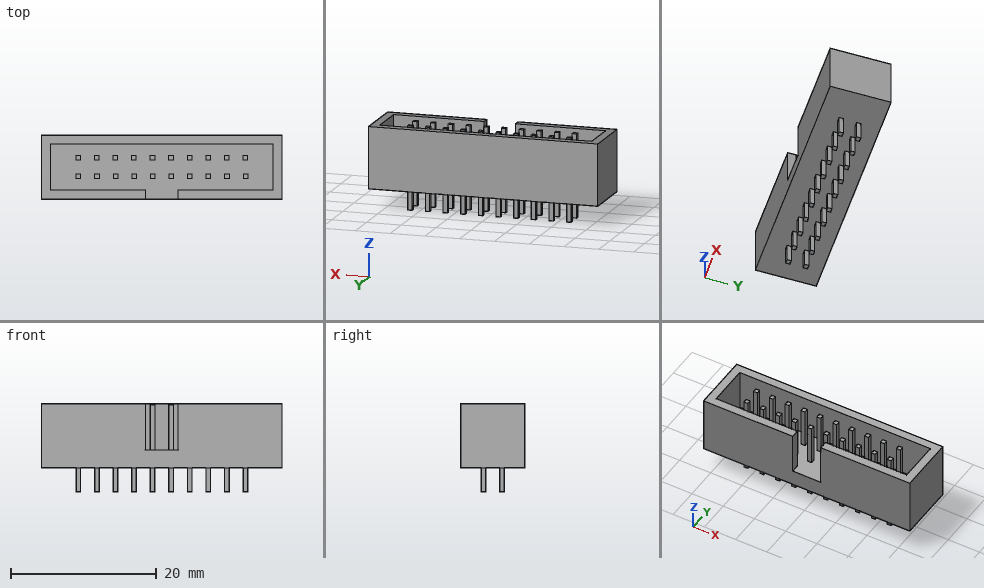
import cadquery as cq


housing_length = 33.0
housing_width = 8.8
housing_height = 8.8
wall = 1.25
cavity_depth = 6.37
key_slot_width = 4.5
cavity_floor = housing_height - cavity_depth

pins_per_row = 10
pin_size = 0.63
row_spacing = 2.55
back_row_span = 22.87
front_row_span = 22.95
first_pin_x = -back_row_span / 2
tail_length = 3.3
tip_recess = 0.2
pin_length = tail_length + housing_height - tip_recess


def make_housing():
    """Open-topped box with a key slot through the front wall, level with the cavity floor."""
    body = cq.Workplane("XY").box(
        housing_length, housing_width, housing_height, centered=(True, True, False)
    )
    cavity = (
        cq.Workplane("XY", origin=(0, 0, cavity_floor))
        .rect(housing_length - 2 * wall, housing_width - 2 * wall)
        .extrude(cavity_depth)
    )
    key_slot = (
        cq.Workplane("XY", origin=(0, -housing_width / 4, cavity_floor))
        .rect(key_slot_width, housing_width / 2)
        .extrude(cavity_depth)
    )
    return body.cut(cavity).cut(key_slot)


def make_pin_row(y, span):
    """Row of square pins from the tail ends up to just below the rim."""
    pitch = span / (pins_per_row - 1)
    centres = [(first_pin_x + i * pitch, y) for i in range(pins_per_row)]
    return (
        cq.Workplane("XY", origin=(0, 0, -tail_length))
        .pushPoints(centres)
        .rect(pin_size, pin_size)
        .extrude(pin_length)
    )


front_row = make_pin_row(-row_spacing / 2, front_row_span)
back_row = make_pin_row(row_spacing / 2, back_row_span)
result = make_housing().union(front_row).union(back_row)